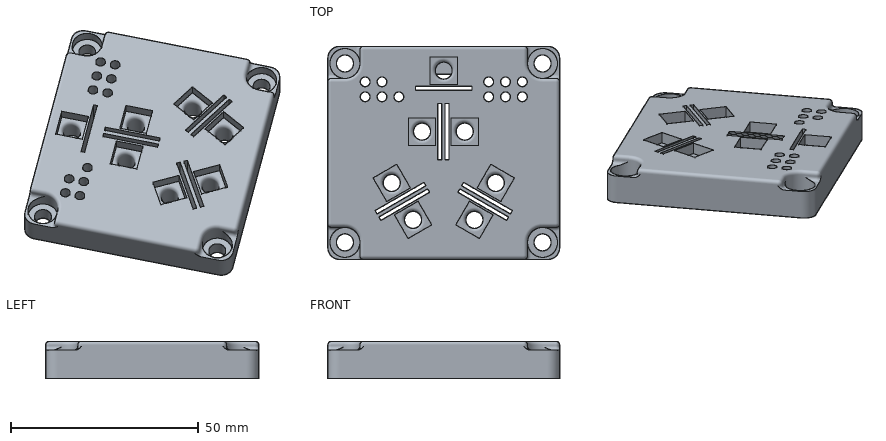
import cadquery as cq
import math

LENGTH_X = 62.0
WIDTH_Y = 57.0
HEIGHT = 9.98
CORNER_RADIUS = 3.2
EDGE_FILLET = 1.0

SCREW_INSET = 4.6
SCREW_HOLE_DIAMETER = 4.5
COUNTERBORE_DIAMETER = 8.0
LEDGE_DEPTH = 2.35
COUNTERBORE_FLOOR_Z = 4.5

POCKET_SIZE = 7.3
POCKET_DEPTH = 3.0
TERMINAL_HOLE_DIAMETER = 4.5
HOLE_MOUTH_FILLET = 1.0
SLOT_LENGTH = 15.0
SLOT_WIDTH = 1.0
SLOT_TO_HOLE = 4.7
PAIR_SLOT_SPACING = 2.0

TERMINAL_PAIRS = [
    (-0.1, 5.7, 0.0),
    (-11.05, -12.95, 120.0),
    (11.05, -12.95, 60.0),
]

SINGLE_HOLE_Y = 22.0
SHELF_EDGE_Y = 21.0
SHELF_THICKNESS = 1.0

SMALL_HOLE_DIAMETER = 2.54
SMALL_HOLE_COLUMNS = [12.0, 16.5, 21.0]
SMALL_HOLE_ROWS = [15.0, 19.0]

TOLERANCE = 0.01

LEDGE_Z = HEIGHT - LEDGE_DEPTH
POCKET_FLOOR_Z = HEIGHT - POCKET_DEPTH
SCREW_X = LENGTH_X / 2 - SCREW_INSET
SCREW_Y = WIDTH_Y / 2 - SCREW_INSET
SCREW_POINTS = [(sx * SCREW_X, sy * SCREW_Y) for sx in (-1, 1) for sy in (-1, 1)]


def rounded_plate(height):
    return (
        cq.Workplane("XY")
        .rect(LENGTH_X, WIDTH_Y)
        .extrude(height)
        .edges("|Z")
        .fillet(CORNER_RADIUS)
    )


def cylinder(x, y, diameter, bottom_z, top_z):
    return (
        cq.Workplane("XY", origin=(x, y, bottom_z))
        .circle(diameter / 2)
        .extrude(top_z - bottom_z)
    )


def raised_outline():
    """Plate outline with the four screw corners taken out, all its corners rounded."""
    wall_radius = COUNTERBORE_DIAMETER / 2
    recess = SCREW_INSET + wall_radius
    corners = [(sx * LENGTH_X / 2, sy * WIDTH_Y / 2) for sx in (-1, 1) for sy in (-1, 1)]
    recesses = cq.Workplane("XY").pushPoints(corners).rect(2 * recess, 2 * recess).extrude(HEIGHT)
    recesses = recesses.edges("|Z").fillet(wall_radius)
    raised = cq.Workplane("XY").rect(LENGTH_X, WIDTH_Y).extrude(HEIGHT).cut(recesses)

    wall_ends = [
        edge
        for edge in raised.edges("|Z").vals()
        if LENGTH_X / 2 - abs(edge.Center().x) < TOLERANCE
        or WIDTH_Y / 2 - abs(edge.Center().y) < TOLERANCE
    ]
    return raised.newObject(wall_ends).fillet(EDGE_FILLET)


def plate_with_ledges():
    """Plate with four lowered corners, rounded along the ledge walls and the top."""
    raised = raised_outline()
    margin = 4 * EDGE_FILLET
    slab = cq.Workplane("XY").rect(LENGTH_X + margin, WIDTH_Y + margin).extrude(LEDGE_Z)
    stepped = slab.union(raised)
    stepped = stepped.faces(">Z").edges().fillet(EDGE_FILLET)
    ledge_face = stepped.faces("|Z").faces(cq.selectors.NearestToPointSelector((0, 0, LEDGE_Z)))
    foot = ledge_face.val().innerWires()[0].Edges()
    stepped = stepped.newObject(foot).fillet(EDGE_FILLET)
    return stepped.intersect(rounded_plate(HEIGHT))


def screw_hole(x, y):
    bore = cylinder(x, y, SCREW_HOLE_DIAMETER, 0, HEIGHT)
    return bore.union(cylinder(x, y, COUNTERBORE_DIAMETER, COUNTERBORE_FLOOR_Z, HEIGHT))


def terminal_hole(floor_z):
    """Square pocket at the origin over a hole whose mouth is rounded."""
    hole_radius = TERMINAL_HOLE_DIAMETER / 2
    mouth_radius = hole_radius + HOLE_MOUTH_FILLET
    arc_middle = HOLE_MOUTH_FILLET * (1 - math.sqrt(0.5))
    hole = (
        cq.Workplane("XZ")
        .moveTo(0, floor_z)
        .lineTo(hole_radius, floor_z)
        .lineTo(hole_radius, POCKET_FLOOR_Z - HOLE_MOUTH_FILLET)
        .threePointArc(
            (hole_radius + arc_middle, POCKET_FLOOR_Z - arc_middle),
            (mouth_radius, POCKET_FLOOR_Z),
        )
        .lineTo(0, POCKET_FLOOR_Z)
        .close()
        .revolve()
    )
    pocket = (
        cq.Workplane("XY", origin=(0, 0, POCKET_FLOOR_Z))
        .rect(POCKET_SIZE, POCKET_SIZE)
        .extrude(POCKET_DEPTH)
    )
    return hole.union(pocket)


def slot():
    """Through slot centred on the origin, long in Y."""
    return cq.Workplane("XY").rect(SLOT_WIDTH, SLOT_LENGTH).extrude(HEIGHT)


def terminal_pair(x, y, angle):
    """Two terminals facing each other across two parallel slots."""
    slot_x = PAIR_SLOT_SPACING / 2
    hole_x = slot_x + SLOT_TO_HOLE
    pair = cq.Workplane("XY")
    for side in (-1, 1):
        pair = pair.add(slot().translate((side * slot_x, 0, 0)))
        pair = pair.add(terminal_hole(0).translate((side * hole_x, 0, 0)))
    pair = pair.combine()
    return pair.rotate((0, 0, 0), (0, 0, 1), angle).translate((x, y, 0))


def single_terminal():
    """One terminal with one slot; its hole breaks through only beside the shelf."""
    upper = terminal_hole(SHELF_THICKNESS)
    open_end = cylinder(0, 0, TERMINAL_HOLE_DIAMETER, 0, SHELF_THICKNESS)
    shelf_width = SINGLE_HOLE_Y - SHELF_EDGE_Y + TERMINAL_HOLE_DIAMETER
    shelf = (
        cq.Workplane("XY", origin=(0, SHELF_EDGE_Y - SINGLE_HOLE_Y + shelf_width / 2, 0))
        .rect(TERMINAL_HOLE_DIAMETER, shelf_width)
        .extrude(SHELF_THICKNESS)
    )
    cross_slot = slot().rotate((0, 0, 0), (0, 0, 1), 90).translate((0, -SLOT_TO_HOLE, 0))
    return upper.union(open_end.cut(shelf)).union(cross_slot).translate((0, SINGLE_HOLE_Y, 0))


def small_hole_points():
    """Both sides mirror each other; the left side lacks its inner hole in the upper row."""
    inner_left = (-SMALL_HOLE_COLUMNS[0], SMALL_HOLE_ROWS[1])
    points = [(side * x, y) for side in (-1, 1) for x in SMALL_HOLE_COLUMNS for y in SMALL_HOLE_ROWS]
    return [point for point in points if point != inner_left]


result = plate_with_ledges()
for screw_x, screw_y in SCREW_POINTS:
    result = result.cut(screw_hole(screw_x, screw_y))
for pair_x, pair_y, pair_angle in TERMINAL_PAIRS:
    result = result.cut(terminal_pair(pair_x, pair_y, pair_angle))
result = result.cut(single_terminal())
for hole_x, hole_y in small_hole_points():
    result = result.cut(cylinder(hole_x, hole_y, SMALL_HOLE_DIAMETER, 0, HEIGHT))